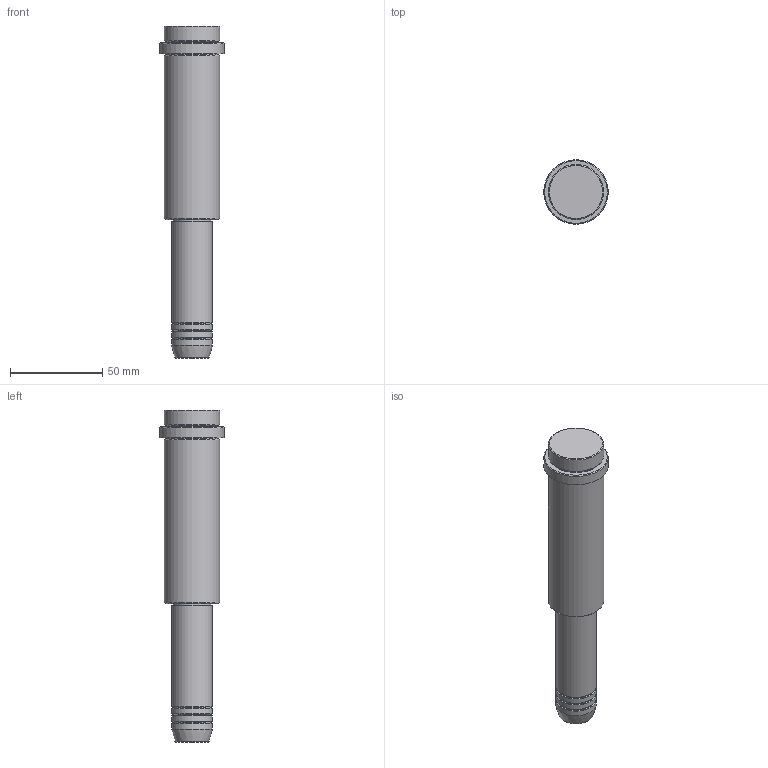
import cadquery as cq

total_length = 180.0
head_length = 9.0
collar_height = 6.0
pin_length = 75.0

shank_radius = 15.0
collar_radius = 17.5
pin_radius = 11.0

collar_chamfer = 0.5
shank_chamfer = 0.6
head_chamfer_height = 0.4
head_chamfer_width = 0.6

relief_width = 1.0
relief_depth = 0.5

groove_depth = 0.5
groove_mouth = 1.1
groove_floor = 0.5
groove_pitch = 4.0
groove_count = 3
lowest_groove_z = 10.65

lead_length = 7.0
lead_end_radius = 9.25
lead_bulge = 0.2
tip_chamfer = 0.5

collar_top = total_length - head_length
collar_bottom = collar_top - collar_height


def cylinder(radius, bottom, top):
    """Solid cylinder on the Z axis between two heights."""
    return cq.Workplane("XY").workplane(offset=bottom).circle(radius).extrude(top - bottom)


def ring(outer_radius, inner_radius, bottom, top):
    """Ring on the Z axis between two heights."""
    return cylinder(outer_radius, bottom, top).cut(cylinder(inner_radius, bottom, top))


def shank_relief(collar_face, direction):
    """Relief running away from a collar face: a flat floor, then a 45 degree run-out."""
    floor_radius = shank_radius - relief_depth
    runout_start = collar_face + direction * (relief_width - relief_depth)
    runout_end = collar_face + direction * relief_width
    return (
        cq.Workplane("XZ")
        .moveTo(shank_radius, collar_face)
        .lineTo(floor_radius, collar_face)
        .lineTo(floor_radius, runout_start)
        .lineTo(shank_radius, runout_end)
        .close()
        .revolve(360, (0, 0, 0), (0, 1, 0))
    )


def make_shank():
    """Press-fit shank and head, with reliefs on both sides of the collar."""
    shank = cylinder(shank_radius, pin_length, total_length)
    shank = shank.faces("<Z").chamfer(shank_chamfer)
    shank = shank.faces(">Z").chamfer(head_chamfer_height, head_chamfer_width)
    shank = shank.cut(shank_relief(collar_top, 1))
    return shank.cut(shank_relief(collar_bottom, -1))


def make_collar():
    """Locating collar with its upper edge broken."""
    collar = cylinder(collar_radius, collar_bottom, collar_top)
    return collar.faces(">Z").chamfer(collar_chamfer)


def make_pin():
    """Guide pin with a curved lead-in and a relief under the shank."""
    lead_middle_radius = (pin_radius + lead_end_radius) / 2 + lead_bulge
    pin = (
        cq.Workplane("XZ")
        .lineTo(lead_end_radius - tip_chamfer, 0)
        .lineTo(lead_end_radius, tip_chamfer)
        .threePointArc((lead_middle_radius, (tip_chamfer + lead_length) / 2), (pin_radius, lead_length))
        .lineTo(pin_radius, pin_length)
        .lineTo(0, pin_length)
        .close()
        .revolve(360, (0, 0, 0), (0, 1, 0))
    )
    return pin.cut(ring(shank_radius, pin_radius - relief_depth, pin_length - relief_width, pin_length))


def lubrication_groove(height):
    """Trapezoidal ring that cuts one groove around the pin."""
    floor_radius = pin_radius - groove_depth
    return (
        cq.Workplane("XZ")
        .moveTo(pin_radius, height - groove_mouth / 2)
        .lineTo(pin_radius, height + groove_mouth / 2)
        .lineTo(floor_radius, height + groove_floor / 2)
        .lineTo(floor_radius, height - groove_floor / 2)
        .close()
        .revolve(360, (0, 0, 0), (0, 1, 0))
    )


result = make_shank().union(make_collar()).union(make_pin())
for index in range(groove_count):
    result = result.cut(lubrication_groove(lowest_groove_z + index * groove_pitch))